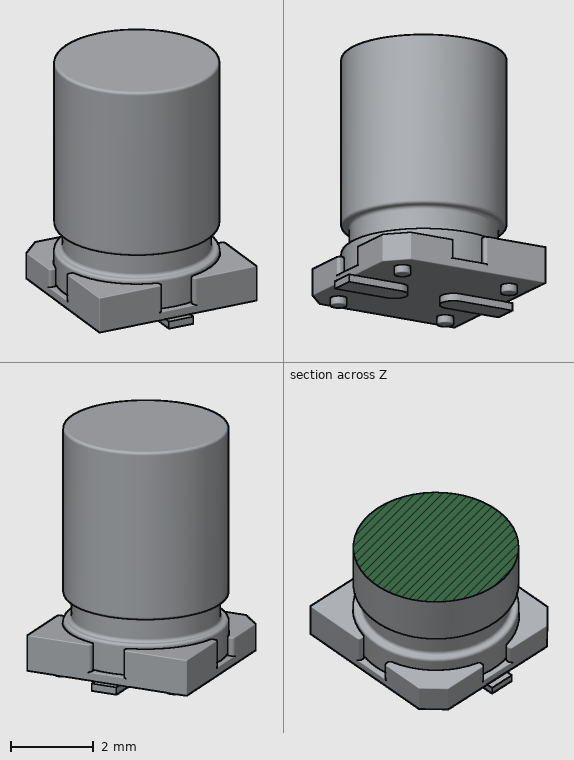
import cadquery as cq
import math

total_height = 6.1
standoff = 0.19

base_size = 4.3
low_block_top = 0.88
tall_block_top = 1.105
pocket_floor = 0.415
pocket_radius = 2.01
corner_cut = 0.5
notch_width = 0.865
tip_fillet = 0.08
edge_fillet = 0.025

can_radius = 4.0 / 2
neck_radius = 3.6 / 2
neck_bottom = 1.29
neck_top = 1.74
can_fillet = 0.075
neck_fillet = 0.085

terminal_span = 4.6
terminal_length = 1.8
terminal_width = 0.665
foot_diameter = 0.4
foot_offset = 1.5
foot_fillet = 0.025

half_base = base_size / 2
half_span = terminal_span / 2


def make_base():
    """Square housing with four corner blocks around a round pocket."""
    base = (
        cq.Workplane("XY", origin=(0, 0, standoff))
        .rect(base_size, base_size)
        .extrude(tall_block_top - standoff)
        .edges("|Z and <X")
        .chamfer(corner_cut)
    )
    base = base.cut(
        cq.Workplane("XY", origin=(-half_base / 2, 0, low_block_top))
        .rect(half_base, base_size)
        .extrude(total_height)
    )
    pocket = cq.Workplane("XY", origin=(0, 0, pocket_floor)).circle(pocket_radius).extrude(total_height)
    for length, width in ((base_size, notch_width), (notch_width, base_size)):
        pocket = pocket.union(
            cq.Workplane("XY", origin=(0, 0, pocket_floor)).rect(length, width).extrude(total_height)
        )
    base = base.cut(pocket)

    half_notch = notch_width / 2
    pocket_reach = math.sqrt(pocket_radius**2 - half_notch**2)
    mid_height = (pocket_floor + low_block_top) / 2
    tip_edges = []
    for reach in (half_base, pocket_reach):
        for x, y in ((reach, half_notch), (half_notch, reach)):
            for sign_x in (-1, 1):
                for sign_y in (-1, 1):
                    point = (sign_x * x, sign_y * y, mid_height)
                    nearest = cq.selectors.NearestToPointSelector(point)
                    tip_edges.append(base.edges("|Z").edges(nearest).val())
    base = base.newObject(tip_edges).fillet(tip_fillet)

    return base.faces("<X or >X or <Y or >Y or <(1,1,0) or <(1,-1,0)").edges().fillet(edge_fillet)


def make_can():
    """Turned can with a rounded groove above its rim."""
    lower_ledge = neck_bottom - neck_fillet
    upper_ledge = neck_top + neck_fillet
    inner = neck_radius + neck_fillet
    outer = can_radius - can_fillet
    profile = (
        cq.Workplane("XZ")
        .moveTo(0, pocket_floor)
        .lineTo(can_radius, pocket_floor)
        .lineTo(can_radius, lower_ledge - can_fillet)
        .radiusArc((outer, lower_ledge), -can_fillet)
        .lineTo(inner, lower_ledge)
        .radiusArc((neck_radius, neck_bottom), neck_fillet)
        .lineTo(neck_radius, neck_top)
        .radiusArc((inner, upper_ledge), neck_fillet)
        .lineTo(outer, upper_ledge)
        .radiusArc((can_radius, upper_ledge + can_fillet), -can_fillet)
        .lineTo(can_radius, total_height - can_fillet)
        .radiusArc((outer, total_height), -can_fillet)
        .lineTo(0, total_height)
        .close()
    )
    return profile.revolve(360, (0, 0, 0), (0, 1, 0))


def make_terminal(side):
    """Flat lead reaching past the base, with a round inner end."""
    half_width = terminal_width / 2
    outer_end = side * half_span
    inner_end = side * (half_span - terminal_length)
    arc_start = inner_end + side * half_width
    return (
        cq.Workplane("XY")
        .moveTo(outer_end, -half_width)
        .lineTo(arc_start, -half_width)
        .threePointArc((inner_end, 0), (arc_start, half_width))
        .lineTo(outer_end, half_width)
        .close()
        .extrude(standoff)
    )


def make_feet():
    """Four round standoff feet."""
    return (
        cq.Workplane("XY")
        .rect(2 * foot_offset, 2 * foot_offset, forConstruction=True)
        .vertices()
        .circle(foot_diameter / 2)
        .extrude(standoff)
        .faces("<Z")
        .edges()
        .fillet(foot_fillet)
    )


result = make_base().union(make_can()).union(make_feet())
for side in (-1, 1):
    result = result.union(make_terminal(side))